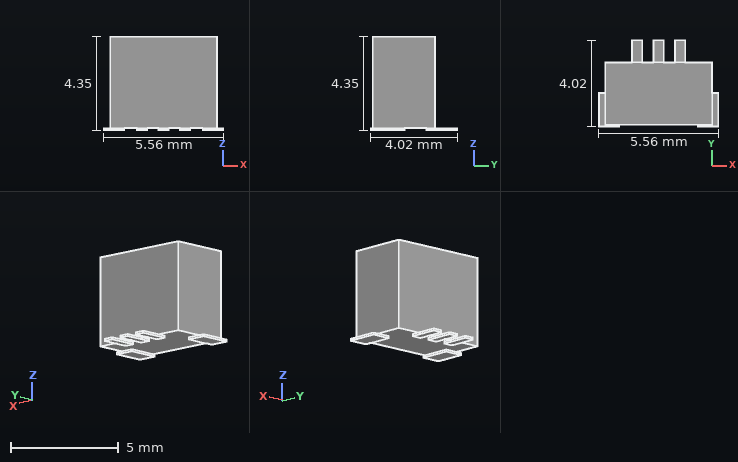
import cadquery as cq

housing_width = 4.98
housing_depth = 2.9
housing_height = 4.25

pad_thickness = 0.1

mount_span = 5.56
mount_width = 0.96
mount_length = 1.57
mount_front_overhang = 0.085

contact_count = 3
contact_pitch = 1.0
contact_width = 0.49
contact_length = 1.435
contact_back_overhang = 1.035

housing_front = -housing_depth / 2
housing_back = housing_depth / 2


def make_housing():
    """Plain block resting on top of the pads."""
    return (
        cq.Workplane("XY")
        .workplane(offset=pad_thickness)
        .rect(housing_width, housing_depth)
        .extrude(housing_height)
    )


def make_pad(width, length, x_center, y_center):
    """Flat rectangular pad with its underside at Z = 0."""
    return (
        cq.Workplane("XY")
        .center(x_center, y_center)
        .rect(width, length)
        .extrude(pad_thickness)
    )


def make_mount_pad(side):
    """Mounting pad; side is -1 for the -X end and +1 for the +X end."""
    x_center = side * (mount_span - mount_width) / 2
    y_center = housing_front - mount_front_overhang + mount_length / 2
    return make_pad(mount_width, mount_length, x_center, y_center)


def make_contact_pad(index):
    """Contact pad number index, counted from -X in a row centred on X = 0."""
    x_center = (index - (contact_count - 1) / 2) * contact_pitch
    y_center = housing_back + contact_back_overhang - contact_length / 2
    return make_pad(contact_width, contact_length, x_center, y_center)


housing = make_housing()
mount_pads = [make_mount_pad(side) for side in (-1, 1)]
contact_pads = [make_contact_pad(index) for index in range(contact_count)]

bodies = [housing, *mount_pads, *contact_pads]
result = cq.Compound.makeCompound([body.val() for body in bodies])